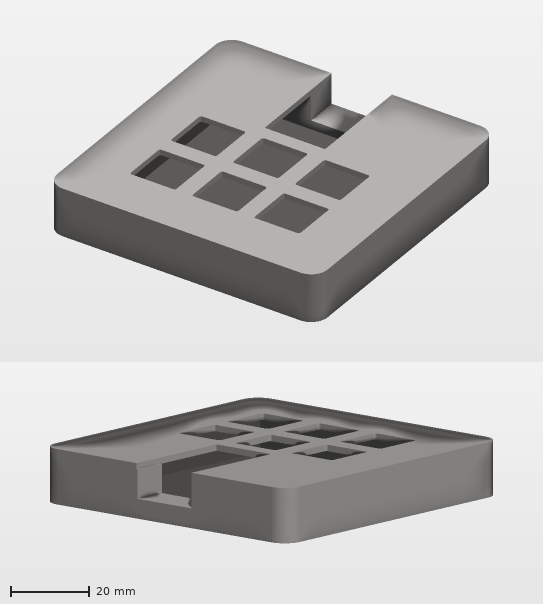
import cadquery as cq

width = 83.0
length = 83.9
height = 14.5
corner_radius = 5.0

lid_thickness = 1.7
floor_thickness = 2.5
wall_thickness = 9.6
case_height = height - lid_thickness

window_size = 14.0
window_radius = 0.7
window_pitch = 19.05
window_columns = 3
window_rows = 2
window_center_y = -10.1

slot_left = -9.15
slot_right = 9.4
slot_length = 31.2

notch_right = 9.1
notch_floor = 5.2


def rounded_slab(thickness, base_z):
    """Rounded rectangle with the outer outline shared by the case and the lid."""
    slab = cq.Workplane("XY").box(width, length, thickness, centered=(True, True, False))
    return slab.edges("|Z").fillet(corner_radius).translate((0, 0, base_z))


def rear_opening(left, right, depth, base_z):
    """Cutting block that runs forward from the rear edge and up to the top."""
    block = cq.Workplane("XY").box(right - left, depth, height - base_z, centered=False)
    return block.translate((left, length / 2 - depth, base_z))


def key_windows():
    """Grid of rounded square cutting blocks for the keys."""
    block = cq.Workplane("XY").rarray(window_pitch, window_pitch, window_columns, window_rows)
    block = block.rect(window_size, window_size).extrude(lid_thickness)
    block = block.edges("|Z").fillet(window_radius)
    return block.translate((0, window_center_y, case_height))


def make_case():
    """Open-topped tray with a thick wall and a cable notch at the rear."""
    cavity = cq.Workplane("XY").box(
        width - 2 * wall_thickness,
        length - 2 * wall_thickness,
        case_height - floor_thickness,
        centered=(True, True, False),
    ).translate((0, 0, floor_thickness))
    notch = rear_opening(slot_left, notch_right, wall_thickness, notch_floor)
    return rounded_slab(case_height, 0).cut(cavity).cut(notch)


def make_lid():
    """Flat cover plate with key windows and a cable slot."""
    slot = rear_opening(slot_left, slot_right, slot_length, case_height)
    return rounded_slab(lid_thickness, case_height).cut(slot).cut(key_windows())


case = make_case()
lid = make_lid()

result = cq.Compound.makeCompound([case.val(), lid.val()])